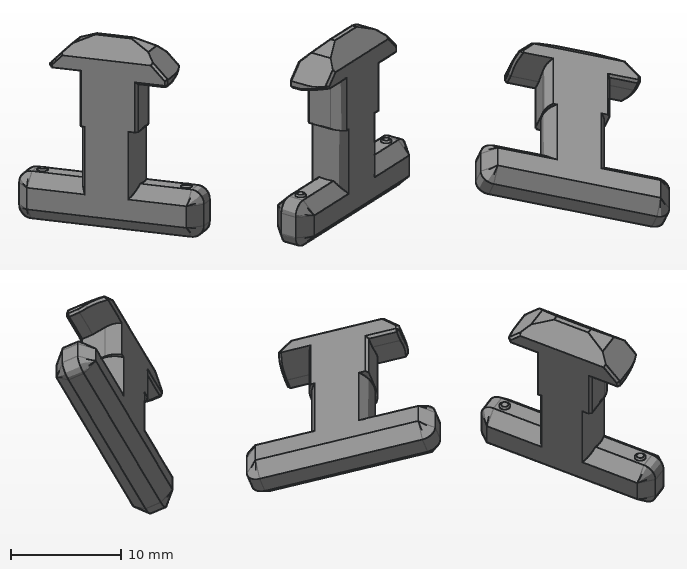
import cadquery as cq
import math

total_height = 18.05
half_depth = 2.0
edge_chamfer = 0.23
tolerance = 0.002

bar_length = 18.0
bar_height = 4.51
bar_bevel = 1.23

bump_offset = 7.0
bump_base_radius = 0.5
bump_height = 0.18

lower_stem_radius = 2.9
stem_step_z = 9.73
upper_stem_half_width = 2.98
upper_flat_half_width = 2.47
round_start_y = 0.52

head_half_length = 5.88
head_bottom_z = 14.3
ridge_half_length = 1.77
ridge_half_width = 0.25
shoulder_half_length = 3.7
shoulder_z = 17.24
ramp_angle = 15.0
ramp_start_y = 0.72

bar_half_core = bar_length / 2 - bar_bevel
roof_edge_z = total_height - (half_depth - ridge_half_width)
head_end_z = shoulder_z - (head_half_length - shoulder_half_length)
ramp_front_z = head_bottom_z + (ramp_start_y + half_depth) * math.tan(math.radians(ramp_angle))


def half_turn(shape):
    return shape.rotate((0, 0, 0), (0, 0, 1), 180)


def foot_bar():
    flat = half_depth - bar_bevel
    core_height = bar_height - 2 * bar_bevel
    lengthwise = (
        cq.Workplane("YZ")
        .rect(2 * half_depth, bar_height)
        .extrude(bar_half_core, both=True)
        .edges("|X")
        .chamfer(bar_bevel)
        .translate((0, 0, bar_height / 2))
    )
    upright = (
        cq.Workplane("XY")
        .workplane(offset=bar_bevel)
        .rect(bar_length, 2 * half_depth)
        .extrude(core_height)
        .edges("|Z")
        .chamfer(bar_bevel)
    )
    corner = (
        cq.Workplane("XY")
        .polyline([(0, -half_depth), (bar_bevel, -flat), (bar_bevel, flat), (0, half_depth)])
        .close()
        .revolve(90, (0, 0, 0), (0, -1, 0))
        .translate((bar_half_core, 0, bar_height - bar_bevel))
    )
    bar = lengthwise.union(upright)
    for upper_corner in (corner, half_turn(corner)):
        lower_corner = upper_corner.mirror("XY").translate((0, 0, bar_height))
        bar = bar.union(upper_corner).union(lower_corner)
    return bar


def bumps():
    return (
        cq.Workplane("XY")
        .workplane(offset=bar_height)
        .pushPoints([(-bump_offset, 0), (bump_offset, 0)])
        .circle(bump_base_radius)
        .extrude(bump_height, taper=45)
    )


def lower_stem():
    base_z = bar_height / 2
    height = stem_step_z - base_z
    slab = cq.Workplane("XY").box(bar_length, 2 * half_depth, height, centered=(True, True, False))
    return (
        cq.Workplane("XY")
        .circle(lower_stem_radius)
        .extrude(height)
        .intersect(slab)
        .translate((0, 0, base_z))
    )


def upper_stem():
    side = upper_stem_half_width
    flat = upper_flat_half_width
    return (
        cq.Workplane("XY")
        .workplane(offset=stem_step_z)
        .moveTo(-flat, -half_depth)
        .lineTo(side - edge_chamfer, -half_depth)
        .lineTo(side, -half_depth + edge_chamfer)
        .lineTo(side, round_start_y)
        .tangentArcPoint((flat, half_depth), relative=False)
        .lineTo(-side + edge_chamfer, half_depth)
        .lineTo(-side, half_depth - edge_chamfer)
        .lineTo(-side, -round_start_y)
        .tangentArcPoint((-flat, -half_depth), relative=False)
        .close()
        .extrude(roof_edge_z - stem_step_z)
    )


def head_wing():
    """The -X half of the head, before the roof is cut along its length."""
    arc_end_x = -math.sqrt(head_half_length**2 - half_depth**2)
    arc_mid = head_half_length * math.sin(math.asin(half_depth / head_half_length) / 2)
    arc_mid_x = -math.sqrt(head_half_length**2 - arc_mid**2)
    plan = (
        cq.Workplane("XY")
        .moveTo(0, half_depth)
        .lineTo(-head_half_length, half_depth)
        .lineTo(-head_half_length, 0)
        .threePointArc((arc_mid_x, -arc_mid), (arc_end_x, -half_depth))
        .lineTo(0, -half_depth)
        .close()
        .extrude(total_height)
    )
    front_profile = (
        cq.Workplane("XZ")
        .polyline([
            (0, head_bottom_z),
            (-head_half_length, head_bottom_z),
            (-head_half_length, head_end_z),
            (-shoulder_half_length, shoulder_z),
            (-ridge_half_length, total_height),
            (0, total_height),
        ])
        .close()
        .extrude(half_depth, both=True)
    )
    ramp = (
        cq.Workplane("YZ")
        .polyline([
            (ramp_start_y, head_bottom_z),
            (-half_depth, ramp_front_z),
            (-half_depth, head_bottom_z),
        ])
        .close()
        .extrude(-head_half_length)
    )
    wing = plan.intersect(front_profile).cut(ramp)

    def is_chamfered(edge):
        center = edge.Center()
        on_tip = center.x < -shoulder_half_length - tolerance
        on_side = abs(center.y) > half_depth - tolerance
        below_slope = center.z < ramp_front_z
        back_underside = center.y > half_depth - tolerance and center.z < head_bottom_z + tolerance
        return back_underside or (on_tip and (on_side or below_slope))

    picked = [edge for edge in wing.edges().vals() if is_chamfered(edge)]
    return wing.newObject(picked).chamfer(edge_chamfer)


def roof():
    return (
        cq.Workplane("YZ")
        .polyline([
            (-half_depth, 0),
            (-half_depth, roof_edge_z),
            (-ridge_half_width, total_height),
            (ridge_half_width, total_height),
            (half_depth, roof_edge_z),
            (half_depth, 0),
        ])
        .close()
        .extrude(head_half_length, both=True)
    )


def head():
    wing = head_wing()
    return wing.union(half_turn(wing)).intersect(roof())


result = foot_bar().union(bumps()).union(lower_stem()).union(upper_stem()).union(head())